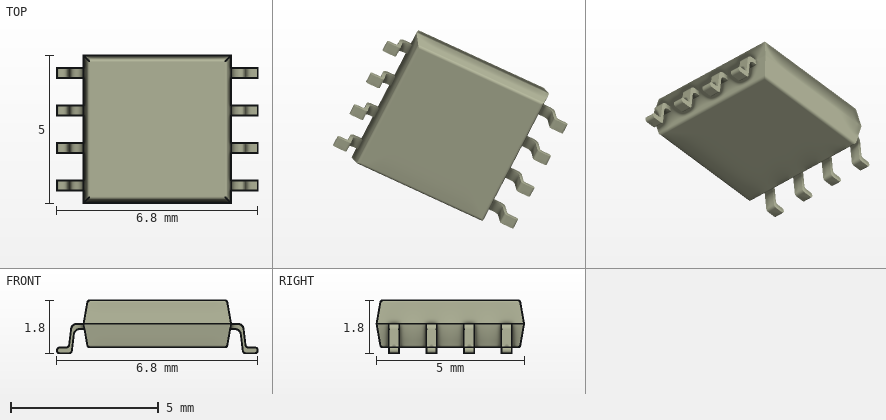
import cadquery as cq
import math

housing_side = 5.0
housing_bottom = 0.2
housing_top = 1.8
parting_height = (housing_bottom + housing_top) / 2
draft_angle = 10.0
rim_radius = 0.095

lead_count = 4
lead_pitch = 1.27
lead_width = 0.35
lead_span = 6.8
arm_top = parting_height
arm_thickness = 0.18
foot_thickness = 0.2
leg_thickness = 0.123
leg_tilt = 7.0
heel_distance = 2.9

shoulder_radius = 0.2
toe_radius = 0.095
foot_bend_radius = 0.1


def make_housing_half(height):
    """Drafted half of the housing, rising from the parting plane at Z = 0."""
    return (
        cq.Workplane("XY")
        .rect(housing_side, housing_side)
        .extrude(height, taper=draft_angle)
        .faces(">Z")
        .edges()
        .fillet(rim_radius)
    )


def make_housing():
    upper_half = make_housing_half(housing_top - parting_height)
    lower_half = make_housing_half(parting_height - housing_bottom).mirror("XY")
    return upper_half.union(lower_half).translate((0, 0, parting_height))


def leg_inner_x(z):
    """X of the leg face towards the housing at height z."""
    return heel_distance - z * math.tan(math.radians(leg_tilt))


def leg_outer_x(z):
    """X of the leg face away from the housing at height z."""
    return leg_inner_x(z) + leg_thickness


def make_lead_half():
    """Half of a lead, from the centre plane to the foot on the +X side."""
    arm_bottom = arm_top - arm_thickness
    toe_x = lead_span / 2
    toe_top = (toe_x, foot_thickness)
    toe_bottom = (toe_x, 0)
    outer_shoulder = (leg_outer_x(arm_top), arm_top)
    instep = (leg_outer_x(foot_thickness), foot_thickness)
    heel = (heel_distance, 0)
    inner_shoulder = (leg_inner_x(arm_bottom), arm_bottom)

    half = (
        cq.Workplane("XZ")
        .moveTo(0, arm_top)
        .lineTo(*outer_shoulder)
        .lineTo(*instep)
        .lineTo(*toe_top)
        .lineTo(*toe_bottom)
        .lineTo(*heel)
        .lineTo(*inner_shoulder)
        .lineTo(0, arm_bottom)
        .close()
        .extrude(lead_width / 2, both=True)
    )
    rounded_corners = [
        (outer_shoulder, shoulder_radius),
        (inner_shoulder, shoulder_radius),
        (instep, foot_bend_radius),
        (heel, foot_bend_radius),
        (toe_top, toe_radius),
        (toe_bottom, toe_radius),
    ]
    for (x, z), radius in rounded_corners:
        corner_edge = cq.selectors.NearestToPointSelector((x, 0, z))
        half = half.edges("|Y").edges(corner_edge).fillet(radius)
    return half


def make_lead(y):
    half = make_lead_half()
    return half.union(half.mirror("YZ")).clean().translate((0, y, 0))


leads = []
for index in range(lead_count):
    lead_y = (index - (lead_count - 1) / 2) * lead_pitch
    leads.append(make_lead(lead_y))

housing = make_housing()
for lead in leads:
    housing = housing.cut(lead)

result = cq.Compound.makeCompound([housing.val(), *[lead.val() for lead in leads]])